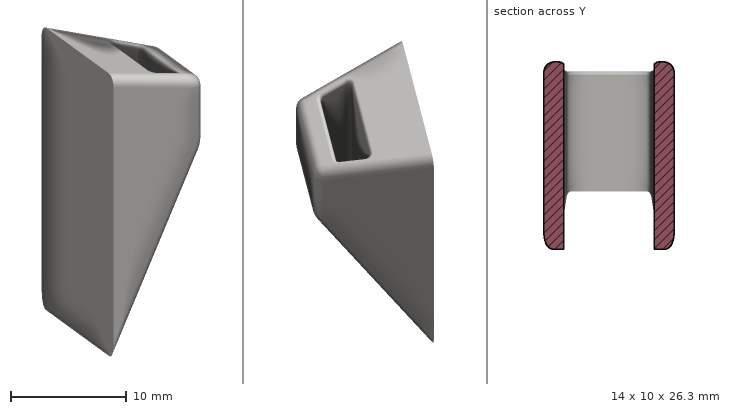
import cadquery as cq
import math

face_width = 14.04
face_height = 26.3
depth = 10.0
side_draft = 15.0
top_slope = 15.0
underside_slope = 60.0
edge_radius = 1.0
back_bend_radius = 2.0

slot_front = 5.0
slot_back = 7.9
slot_wall = 1.3
slot_corner_radius = 0.4
slot_rim_radius = 0.3


def slope(angle):
    """Rise per unit run at an angle in degrees."""
    return math.tan(math.radians(angle))


def half_width(y):
    """Half of the body width at distance y behind the flat face."""
    return face_width / 2 - y * slope(side_draft)


def trapezoid_prism(front, back, inset):
    """Full-height prism between two Y planes, set in from the drafted sides."""
    front_half = half_width(front) - inset
    back_half = half_width(back) - inset
    outline = [
        (-front_half, front),
        (front_half, front),
        (back_half, back),
        (-back_half, back),
    ]
    return cq.Workplane("XY").polyline(outline).close().extrude(face_height)


def side_prism():
    """Side outline of the wedge across its full width, with the lower back bend rounded."""
    back_bottom = depth * slope(underside_slope)
    outline = [
        (0, 0),
        (depth, back_bottom),
        (depth, face_height - depth * slope(top_slope)),
        (0, face_height),
    ]
    prism = cq.Workplane("YZ").polyline(outline).close().extrude(face_width / 2, both=True)
    bend = cq.selectors.NearestToPointSelector((0, depth, back_bottom))
    return prism.edges(bend).fillet(back_bend_radius)


def make_body():
    """Drafted wedge with every edge rounded except those of the flat face."""
    wedge = side_prism().intersect(trapezoid_prism(0, depth, 0))
    flat_face_edges = cq.selectors.BoxSelector(
        (-face_width, -edge_radius / 2, -face_height),
        (face_width, edge_radius / 2, 2 * face_height),
    )
    return wedge.edges(cq.selectors.InverseSelector(flat_face_edges)).fillet(edge_radius)


def cut_slot(body):
    """Cut the slot through the body and round its upper rim."""
    slot = trapezoid_prism(slot_front, slot_back, slot_wall).edges("|Z").fillet(slot_corner_radius)
    rim_floor = face_height - depth * slope(top_slope) - edge_radius
    rim = cq.selectors.BoxSelector(
        (-half_width(slot_front) + edge_radius, slot_front - slot_rim_radius, rim_floor),
        (half_width(slot_front) - edge_radius, slot_back + slot_rim_radius, face_height),
    )
    return body.cut(slot).edges(rim).fillet(slot_rim_radius)


result = cut_slot(make_body())